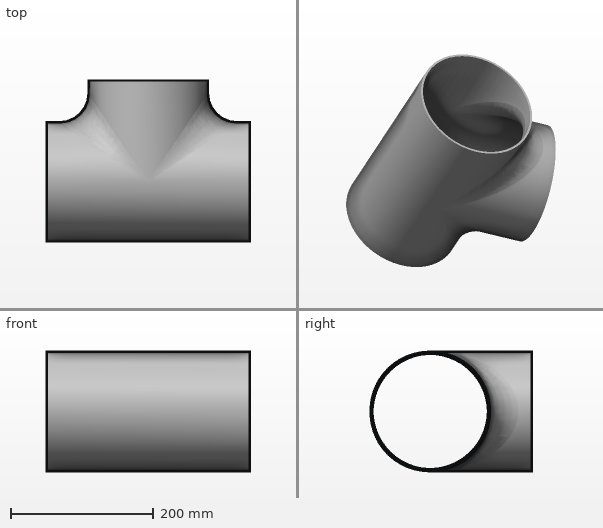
import cadquery as cq
import math

run_length = 286.0
outer_diameter = 168.2
bore_diameter = 162.2
branch_reach = run_length / 2
crotch_radius = 40.0
blend_reach = outer_diameter / 2 + crotch_radius

arc_steps = 12
sweep_steps = 36
surface_tolerance = 1e-4
joining_tolerance = 0.005


def blend_point(radius, arc_angle, sweep_angle):
    """Point on the blend: a corner arc in plan that shrinks to nothing at the top and bottom of the pipes."""
    arc_radius = blend_reach - radius
    plan_x = blend_reach - arc_radius * math.sin(arc_angle)
    plan_y = blend_reach - arc_radius * math.cos(arc_angle)
    shrink = math.cos(sweep_angle)
    return cq.Vector(plan_x * shrink, plan_y * shrink, radius * math.sin(sweep_angle))


def crotch_wedge(radius):
    """Solid slice between the Z axis and the blend surface, in the +X +Y corner."""
    arc_angles = [math.pi / 2 * i / arc_steps for i in range(arc_steps + 1)]
    sweep_angles = [math.pi * (j / sweep_steps - 0.5) for j in range(sweep_steps + 1)]
    point_rows = [[blend_point(radius, arc, sweep) for sweep in sweep_angles] for arc in arc_angles]
    blend = cq.Face.makeSplineApprox(point_rows, tol=surface_tolerance, maxDeg=8)

    axis = cq.Edge.makeLine(cq.Vector(0, 0, -radius), cq.Vector(0, 0, radius))
    rims = [edge for edge in blend.Edges() if edge.Length() > radius]
    sides = [cq.Face.makeFromWires(cq.Wire.assembleEdges([rim, axis])) for rim in rims]
    return cq.Workplane(cq.Solid.makeSolid(cq.Shell.makeShell([blend] + sides)))


def tee_body(diameter):
    """Solid tee of one diameter, used for both the outside and the bore."""
    radius = diameter / 2
    run = cq.Workplane("YZ").circle(radius).extrude(run_length / 2, both=True)
    branch = cq.Workplane("XZ").circle(radius).extrude(-branch_reach)
    right_wedge = crotch_wedge(radius)
    left_wedge = right_wedge.mirror("YZ")
    body = run.union(branch)
    for wedge in (right_wedge, left_wedge):
        body = body.union(wedge, tol=joining_tolerance)
    return body


result = tee_body(outer_diameter).cut(tee_body(bore_diameter)).solids()